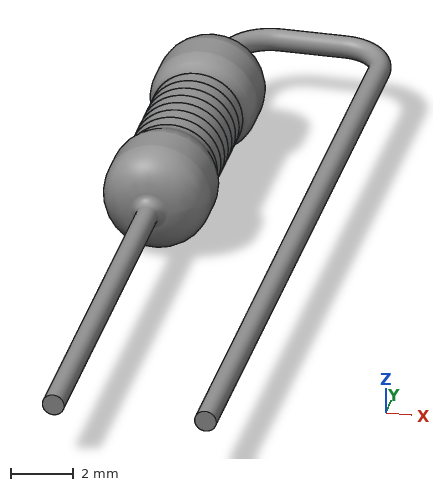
import cadquery as cq
import math

wire_diameter = 0.7
wire_radius = wire_diameter / 2
total_length = 26.35
lead_spacing = 4.98
bend_radius = 1.42

bulb_diameter = 3.5
bulb_radius = bulb_diameter / 2
waist_diameter = 2.98
waist_radius = waist_diameter / 2
body_center_from_top = 7.77
body_half_length = 5.0
bulb_inner = 2.82
bulb_outer = 3.77
neck_fillet = 0.35

band_diameter = 3.0
band_count = 4
band_pitch = 1.03
band_width = band_pitch / 2

top_y = body_center_from_top
bottom_y = top_y - total_length
cross_wire_y = top_y - wire_radius
bend_start_y = cross_wire_y - bend_radius

swell_rise = bulb_radius - waist_radius
waist_end = (band_count - 1) / 2 * band_pitch + band_width / 2
swell_length = bulb_inner - waist_end
swell_arc_radius = (swell_length**2 + swell_rise**2) / (4 * swell_rise)
swell_half_angle = math.asin(swell_length / 2 / swell_arc_radius) / 2
swell_mid_rise = swell_rise / 2
swell_mid = (waist_end + bulb_inner) / 2
arc_point_along = swell_arc_radius * math.sin(swell_half_angle)
arc_point_rise = swell_arc_radius * (1 - math.cos(swell_half_angle))

dome_radius = body_half_length - bulb_outer
dome_center_radius = bulb_radius - dome_radius
fillet_center_radius = wire_radius + neck_fillet
fillet_center_offset = fillet_center_radius - dome_center_radius
centers_distance = dome_radius + neck_fillet
neck_end = bulb_outer + math.sqrt(centers_distance**2 - fillet_center_offset**2)
contact_angle = math.asin(fillet_center_offset / centers_distance)
arc_mid_angle = (math.pi / 2 + contact_angle) / 2


def dome_point(angle):
    """Return the dome's (radius, Y) at an angle from the body axis."""
    return (
        dome_center_radius + dome_radius * math.sin(angle),
        bulb_outer + dome_radius * math.cos(angle),
    )


def make_bulb():
    """Revolve the +Y end of the body, from the end of the waist to the neck."""
    profile = (
        cq.Workplane("XY")
        .moveTo(0, waist_end)
        .lineTo(waist_radius, waist_end)
        .threePointArc(
            (waist_radius + arc_point_rise, waist_end + arc_point_along),
            (waist_radius + swell_mid_rise, swell_mid),
        )
        .threePointArc(
            (bulb_radius - arc_point_rise, bulb_inner - arc_point_along),
            (bulb_radius, bulb_inner),
        )
        .lineTo(bulb_radius, bulb_outer)
        .threePointArc(
            dome_point(arc_mid_angle),
            dome_point(contact_angle),
        )
        .threePointArc(
            (
                fillet_center_radius - neck_fillet * math.sin(arc_mid_angle),
                neck_end - neck_fillet * math.cos(arc_mid_angle),
            ),
            (wire_radius, neck_end),
        )
        .lineTo(0, neck_end)
        .close()
    )
    return profile.revolve(360, (0, 0, 0), (0, 1, 0))


def make_cylinder(center_y, width, diameter):
    """Make a solid cylinder along Y, centred on center_y."""
    return (
        cq.Workplane("XZ", origin=(0, center_y + width / 2, 0))
        .circle(diameter / 2)
        .extrude(width)
    )


def make_leads():
    """Sweep one wire through the body, around both bends and back down."""
    bend_mid_offset = bend_radius * (1 - math.sqrt(0.5))
    path = (
        cq.Workplane("XY")
        .moveTo(0, bottom_y)
        .lineTo(0, bend_start_y)
        .threePointArc(
            (bend_mid_offset, cross_wire_y - bend_mid_offset),
            (bend_radius, cross_wire_y),
        )
        .lineTo(lead_spacing - bend_radius, cross_wire_y)
        .threePointArc(
            (lead_spacing - bend_mid_offset, cross_wire_y - bend_mid_offset),
            (lead_spacing, bend_start_y),
        )
        .lineTo(lead_spacing, bottom_y)
    )
    return cq.Workplane("XZ", origin=(0, bottom_y, 0)).circle(wire_radius).sweep(path)


bulb = make_bulb()
body = make_cylinder(0, 2 * waist_end, waist_diameter).union(bulb).union(bulb.mirror("XZ"))
for index in range(band_count):
    band_y = (index - (band_count - 1) / 2) * band_pitch
    body = body.union(make_cylinder(band_y, band_width, band_diameter))

result = body.union(make_leads())